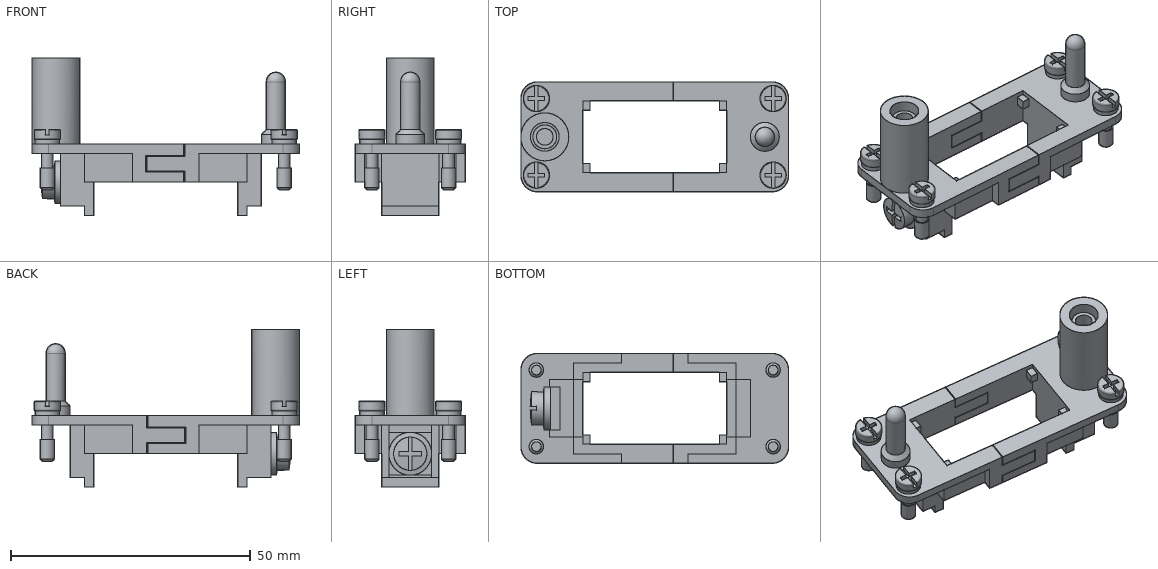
import cadquery as cq
import math


FLANGE_LENGTH = 56.0
FLANGE_WIDTH = 23.0
FLANGE_THICKNESS = 2.0
CORNER_RADIUS = 3.5
OPENING_LENGTH = 30.0
OPENING_WIDTH = 15.0
WALL = 2.0
SKIRT_DEPTH = 8.0
CENTRE_BLOCK_LENGTH = 14.0

TAB_LENGTH = 1.5
TAB_WIDTH = 1.95
TAB_TOP = -1.0
TAB_BOTTOM = -3.0

BLOCK_WIDTH = 12.0
BLOCK_DEPTH = 13.0
FOOT_DEPTH = 15.0
LEFT_BLOCK_INSET = 6.0
RIGHT_BLOCK_INSET = 8.0

JOINT_X = 3.85
JOINT_GAP = 0.14
TONGUE_SLOT_LENGTH = 7.95
TONGUE_SLOT_TOP = -2.5
TONGUE_SLOT_BOTTOM = -5.75

SOCKET_DIAMETER = 10.0
SOCKET_HEIGHT = 18.0
SOCKET_BORE_DIAMETER = 6.0
SOCKET_BORE_DEPTH = 5.05
SLEEVE_OUTER_DIAMETER = 5.0
SLEEVE_INNER_DIAMETER = 3.5
SLEEVE_RECESS = 1.95

PIN_DIAMETER = 4.05
PIN_HEIGHT = 15.0
PIN_INSET = 5.0
COLLAR_DIAMETER = 6.05
COLLAR_HEIGHT = 2.0
COLLAR_CONE_TOP = 2.95

SCREW_INSET = 3.25
SCREW_SPACING_Y = 16.0
HEAD_RADIUS = 2.75
HEAD_TOP = 2.95
HEAD_FILLET = 0.15
RING_RADIUS = 2.6
RING_HEIGHT = 0.95
SHANK_RADIUS = 1.25
THREAD_RADIUS = 1.5
THREAD_TOP = -5.0
THREAD_BOTTOM = -9.1
TIP_RADIUS = 1.0
TIP_BOTTOM = -9.65
DRIVE_WIDTH = 0.8
DRIVE_CROSS_LENGTH = 3.5
DRIVE_DEPTH = 1.05

TERMINAL_Z = -8.0
CHANNEL_WIDTH = 8.95
CHANNEL_DEPTH = 2.25
CLAMP_THICKNESS = 2.0
WASHER_INSET = 4.7
WASHER_CONE_RISE = 0.15
EARTH_HEAD_RADIUS = 3.5
EARTH_HEAD_HEIGHT = 2.45
EARTH_DOME_HEIGHT = 0.3
EARTH_CROSS_LENGTH = 4.7
EARTH_CROSS_WIDTH = 1.0

END_X = FLANGE_LENGTH / 2
OPENING_X = OPENING_LENGTH / 2
OPENING_Y = OPENING_WIDTH / 2
SKIRT_X = OPENING_X + WALL
SKIRT_Y = OPENING_Y + WALL
SOCKET_X = -END_X + SOCKET_DIAMETER / 2
PIN_X = END_X - PIN_INSET
LEFT_BLOCK_X = -END_X + LEFT_BLOCK_INSET
RIGHT_BLOCK_X = END_X - RIGHT_BLOCK_INSET
CHANNEL_FLOOR_X = LEFT_BLOCK_X + CHANNEL_DEPTH
CLAMP_FACE_X = CHANNEL_FLOOR_X - CLAMP_THICKNESS
WASHER_FACE_X = -END_X + WASHER_INSET


def box(x0, x1, y0, y1, z0, z1):
    """Box between two opposite corners."""
    return cq.Workplane("XY").box(x1 - x0, y1 - y0, z1 - z0, centered=False).translate((x0, y0, z0))


def centred_box(x0, x1, width, z0, z1):
    """Box that is symmetric about the XZ plane."""
    return box(x0, x1, -width / 2, width / 2, z0, z1)


def cylinder(x, radius, z0, z1):
    """Upright cylinder with its axis in the XZ plane."""
    return cq.Workplane("XY", origin=(x, 0, z0)).circle(radius).extrude(z1 - z0)


def end_block(face_x, direction):
    """Block beyond the opening, with the foot under its inner end; direction points outwards."""
    inner_x = direction * OPENING_X
    foot_x = direction * SKIRT_X
    outline = [
        (inner_x, -FLANGE_THICKNESS),
        (face_x, -FLANGE_THICKNESS),
        (face_x, -BLOCK_DEPTH),
        (foot_x, -BLOCK_DEPTH),
        (foot_x, -FOOT_DEPTH),
        (inner_x, -FOOT_DEPTH),
    ]
    return cq.Workplane("XZ").polyline(outline).close().extrude(BLOCK_WIDTH / 2, both=True)


def whole_frame():
    """Flange, walls, tabs and end blocks of both halves before they are parted."""
    flange = centred_box(-END_X, END_X, FLANGE_WIDTH, -FLANGE_THICKNESS, 0)
    flange = flange.edges("|Z").fillet(CORNER_RADIUS)
    skirt = centred_box(-SKIRT_X, SKIRT_X, 2 * SKIRT_Y, -SKIRT_DEPTH, -FLANGE_THICKNESS)
    half_centre = CENTRE_BLOCK_LENGTH / 2
    centre_block = centred_box(-half_centre, half_centre, FLANGE_WIDTH, -SKIRT_DEPTH, -FLANGE_THICKNESS)
    opening = centred_box(-OPENING_X, OPENING_X, OPENING_WIDTH, -FOOT_DEPTH, 0)
    frame = flange.union(skirt).union(centre_block).cut(opening)
    frame = frame.union(end_block(LEFT_BLOCK_X, -1)).union(end_block(RIGHT_BLOCK_X, 1))
    tab = box(OPENING_X - TAB_LENGTH, OPENING_X, OPENING_Y - TAB_WIDTH, OPENING_Y, TAB_BOTTOM, TAB_TOP)
    for end_tab in (tab, tab.mirror("YZ")):
        frame = frame.union(end_tab).union(end_tab.mirror("XZ"))
    return frame


def right_region(clearance):
    """Space right of the joint, tongue included, drawn back by half the clearance on all sides."""
    main = centred_box(JOINT_X + clearance / 2, END_X, FLANGE_WIDTH, -FOOT_DEPTH, 0)
    tongue = centred_box(
        JOINT_X - TONGUE_SLOT_LENGTH + clearance / 2,
        END_X,
        FLANGE_WIDTH,
        TONGUE_SLOT_BOTTOM + clearance / 2,
        TONGUE_SLOT_TOP - clearance / 2,
    )
    return main.union(tongue)


def corner_screw(x, y):
    """Captive screw with a slot along Y and a short cross slot along X."""
    profile = [
        (0, RING_HEIGHT),
        (RING_RADIUS, RING_HEIGHT),
        (RING_RADIUS, 0),
        (SHANK_RADIUS, 0),
        (SHANK_RADIUS, THREAD_TOP),
        (THREAD_RADIUS, THREAD_TOP),
        (THREAD_RADIUS, THREAD_BOTTOM),
        (TIP_RADIUS, TIP_BOTTOM),
        (0, TIP_BOTTOM),
    ]
    shank = cq.Workplane("XZ").polyline(profile).close().revolve(360, (0, 0), (0, 1))
    head = cylinder(0, HEAD_RADIUS, RING_HEIGHT, HEAD_TOP).faces("<Z or >Z").edges().fillet(HEAD_FILLET)
    slot = cq.Workplane("XY").box(DRIVE_WIDTH, 2 * HEAD_RADIUS, 2 * DRIVE_DEPTH)
    cross = cq.Workplane("XY").box(DRIVE_CROSS_LENGTH, DRIVE_WIDTH, 2 * DRIVE_DEPTH)
    drive = slot.union(cross).translate((0, 0, HEAD_TOP))
    return shank.union(head).cut(drive).translate((x, y, 0))


def add_corner_screws(half, x):
    """Frame half with its two screws, which are one piece with it."""
    for y in (-SCREW_SPACING_Y / 2, SCREW_SPACING_Y / 2):
        half = half.union(corner_screw(x, y))
    return half


def guide_socket():
    """Post with a blind bore and a contact sleeve standing in it."""
    floor_z = SOCKET_HEIGHT - SOCKET_BORE_DEPTH
    sleeve_top = SOCKET_HEIGHT - SLEEVE_RECESS
    post = cylinder(SOCKET_X, SOCKET_DIAMETER / 2, 0, SOCKET_HEIGHT)
    bore = cylinder(SOCKET_X, SOCKET_BORE_DIAMETER / 2, floor_z, SOCKET_HEIGHT)
    sleeve = cylinder(SOCKET_X, SLEEVE_OUTER_DIAMETER / 2, floor_z, sleeve_top)
    sleeve_hole = cylinder(SOCKET_X, SLEEVE_INNER_DIAMETER / 2, floor_z, sleeve_top)
    return post.cut(bore).union(sleeve.cut(sleeve_hole))


def guide_pin():
    """Round-ended pin on a collar with a conical shoulder."""
    pin_radius = PIN_DIAMETER / 2
    collar_radius = COLLAR_DIAMETER / 2
    round_start = PIN_HEIGHT - pin_radius
    round_offset = pin_radius * math.sqrt(0.5)
    profile = (
        cq.Workplane("XZ")
        .lineTo(collar_radius, 0)
        .lineTo(collar_radius, COLLAR_HEIGHT)
        .lineTo(pin_radius, COLLAR_CONE_TOP)
        .lineTo(pin_radius, round_start)
        .threePointArc((round_offset, round_start + round_offset), (0, PIN_HEIGHT))
        .close()
    )
    return profile.revolve(360, (0, 0), (0, 1)).translate((PIN_X, 0, 0))


def make_left_frame(frame):
    """Left half with the tongue slots, terminal channel, guide socket and screws."""
    left = frame.cut(right_region(-JOINT_GAP))
    channel = centred_box(LEFT_BLOCK_X, CHANNEL_FLOOR_X, CHANNEL_WIDTH, -BLOCK_DEPTH, -FLANGE_THICKNESS)
    left = left.cut(channel).union(guide_socket())
    return add_corner_screws(left, -END_X + SCREW_INSET)


def make_right_frame(frame):
    """Right half with the tongues, guide pin and screws."""
    right = frame.intersect(right_region(JOINT_GAP)).union(guide_pin())
    return add_corner_screws(right, END_X - SCREW_INSET)


def make_clamp_plate():
    """Square plate that lies on the floor of the channel, under the earthing screw."""
    half = CHANNEL_WIDTH / 2
    return centred_box(CLAMP_FACE_X, CHANNEL_FLOOR_X, CHANNEL_WIDTH, TERMINAL_Z - half, TERMINAL_Z + half)


def make_earth_screw():
    """Domed screw head on a slightly conical washer, with its axis along X."""
    washer_radius = CHANNEL_WIDTH / 2
    rim_x = WASHER_FACE_X + WASHER_CONE_RISE
    head_rim_x = WASHER_FACE_X - EARTH_HEAD_HEIGHT
    apex_x = head_rim_x - EARTH_DOME_HEIGHT
    dome_radius = (EARTH_HEAD_RADIUS**2 + EARTH_DOME_HEIGHT**2) / (2 * EARTH_DOME_HEIGHT)
    half_chord = EARTH_HEAD_RADIUS / 2
    dome_x = apex_x + dome_radius - math.sqrt(dome_radius**2 - half_chord**2)
    screw = (
        cq.Workplane("XY")
        .moveTo(CLAMP_FACE_X, 0)
        .lineTo(CLAMP_FACE_X, washer_radius)
        .lineTo(rim_x, washer_radius)
        .lineTo(WASHER_FACE_X, EARTH_HEAD_RADIUS)
        .lineTo(head_rim_x, EARTH_HEAD_RADIUS)
        .threePointArc((dome_x, half_chord), (apex_x, 0))
        .close()
        .revolve(360, (0, 0), (1, 0))
    )
    slot = cq.Workplane("XY").box(2 * DRIVE_DEPTH, DRIVE_WIDTH, 2 * EARTH_HEAD_RADIUS)
    cross = cq.Workplane("XY").box(2 * DRIVE_DEPTH, EARTH_CROSS_LENGTH, EARTH_CROSS_WIDTH)
    screw = screw.cut(slot.union(cross).translate((head_rim_x, 0, 0)))
    return screw.translate((0, 0, TERMINAL_Z))


frame = whole_frame()
left_frame = make_left_frame(frame)
right_frame = make_right_frame(frame)
clamp_plate = make_clamp_plate()
earth_screw = make_earth_screw()

result = cq.Compound.makeCompound(
    [left_frame.val(), right_frame.val(), clamp_plate.val(), earth_screw.val()]
)